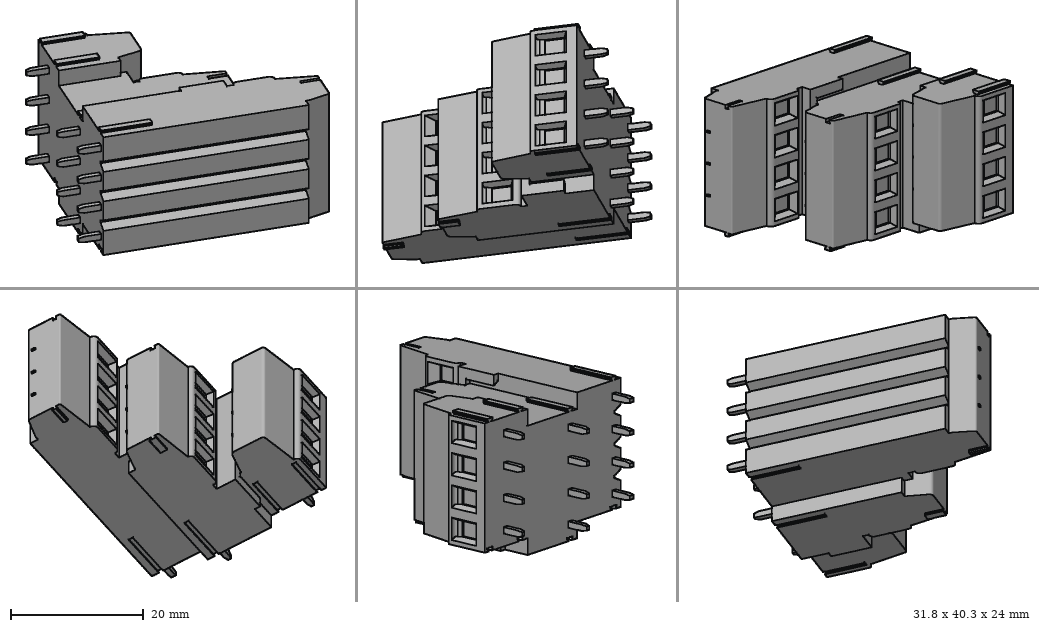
import cadquery as cq


POLES = 4
POLE_PITCH = 5.08
TIER_LENGTH = POLES * POLE_PITCH
MIDDLE_SHIFT = 2.6
MIDDLE_POLE_SHIFT = POLE_PITCH / 2
BACK_X = 31.8

FRONT_FACE_X = 0
MIDDLE_FACE_X = 11.65
BACK_FACE_X = 21.55
FRONT_MIDDLE_JOINT_X = 10.0
MIDDLE_BACK_JOINT_X = 21.6
STEP_OVERHANG = 0.95

TOWER_PITCH = 11.35
FRONT_TOP_Y = 13.85
MIDDLE_TOP_Y = FRONT_TOP_Y + TOWER_PITCH
BACK_TOP_Y = MIDDLE_TOP_Y + TOWER_PITCH

LIP_DROP = 6.4
SHOULDER_DROP = 4.07
BACK_TOWER_FOOT = 0.55

FRONT_TOWER_X = (0.85, 1.97, 7.85, 8.85)
MIDDLE_TOWER_X = (12.37, 13.38, 19.35, 20.4)
BACK_TOWER_X = (22.5, 23.58, 29.38, 30.4)

FACE_RADIUS = 0.65
BACK_FACE_RADIUS = 0.8
FRONT_TOP_RADII = (0.5, 0.73)
MIDDLE_TOP_RADII = (0.25, 0.73)
BACK_TOP_RADII = (0.25, 0.4)

MIDDLE_STEP_TOP_Y = 11.05
MIDDLE_NOTCH_TOP_Y = 12.0
MIDDLE_NOTCH_X = 12.45
BACK_STEP_TOP_Y = 22.6
BACK_NOTCH_TOP_Y = 23.65
BACK_NOTCH_X = BACK_FACE_X + BACK_FACE_RADIUS

MIDDLE_LEDGE_Y = 4.45
BACK_LEDGE_Y = 15.6
MIDDLE_LEDGE_THICK = (1.85, 1.4)
BACK_LEDGE_THICK = (1.75, 1.13)

FRONT_FUNNEL_Y = 1.7
FUNNEL_HEIGHT = 4.8
FUNNEL_WIDTH = 3.55
FUNNEL_TAPER = 0.52
FUNNEL_DEPTH = 1.0
FUNNEL_STRAIGHT = 0.52
FUNNEL_ROUND_DEPTH = 0.85
FUNNEL_ROUND_DROP = 0.45
FUNNEL_UPPER_DROP = 1.2
BACK_FUNNEL_HEIGHT = 5.0
BACK_FUNNEL_DEPTH = 1.2
BACK_FUNNEL_UPPER_DROP = 1.4
POCKET_DEPTH = 0.35

RIB_HEIGHT = 0.55
RIB_WIDTH = 1.25
RIB_NECK = 0.7
RIB_EDGE = 0.2
FRONT_RIB_X = (1.25, 8.3)
FRONT_RIB_LENGTH = 6.8
MIDDLE_RIB_X = 19.95
BACK_RIB_X = 30.1
BACK_RIB_WIDTH = 1.13
BACK_GROOVE_WIDTH = 1.4
REAR_RIB_LENGTH = 8.1
TOWER_RIB_LENGTH = 3.02
MIDDLE_TOWER_RIB_X = 14.45
BACK_TOWER_RIB_X = 24.62
BACK_TOWER_RIB_WIDTH = 0.95
BACK_TOWER_RIB_NECK = 0.55
BACK_TOWER_GROOVE_WIDTH = 0.55
MIDDLE_TOWER_GROOVE_WIDTH = 0.9

FRONT_PIN_X = 4.85
MIDDLE_PIN_X = 20.0
BACK_PIN_X = 30.2
PIN_WIDTH = 0.9
PIN_HEIGHT = 1.0
PIN_LENGTH = 3.5
PIN_TIP = 0.85
PIN_TIP_WIDTH = 0.55
PIN_TIP_HEIGHT = 0.65

NOTCH_DEPTH = 1.45
NOTCH_WIDTH = 1.77
NOTCH_FLOOR = 0.32
TICK_WIDTH = 0.25
TICK_BURIAL = 0.4
FRONT_TICK_CORNER = (8.3, 13.15)
MIDDLE_TICK_CORNER = (19.83, 24.55)
SLOPE_TICK_HEIGHT = 0.93
BACK_TICK_X = 28.05
BACK_TICK_LENGTH = 0.65
BACK_TICK_RISE = 0.2

pole_heights = [POLE_PITCH * (i + 0.5) for i in range(POLES)]
pole_borders = [POLE_PITCH * i for i in range(1, POLES)]


def prism_along_z(points, bottom_z, length):
    return cq.Workplane("XY", origin=(0, 0, bottom_z)).polyline(points).close().extrude(length)


def prism_along_y(points, bottom_y, length):
    return cq.Workplane("XZ", origin=(0, bottom_y, 0)).polyline(points).close().extrude(-length)


def round_corners(body, corners):
    """Fillet the Z edges of a prism that stand at the given (x, y, radius) corners."""
    for x, y, radius in corners:
        edge = cq.selectors.NearestToPointSelector((x, y, body.val().Center().z))
        body = body.edges("|Z").edges(edge).fillet(radius)
    return body


def front_tier():
    lip_y = FRONT_TOP_Y - LIP_DROP
    shoulder_y = FRONT_TOP_Y - SHOULDER_DROP
    slope_foot_x, top_front_x, top_rear_x, rear_foot_x = FRONT_TOWER_X
    top_front = (top_front_x, FRONT_TOP_Y)
    top_rear = (top_rear_x, FRONT_TOP_Y)
    front_radius, rear_radius = FRONT_TOP_RADII
    body = prism_along_z(
        [
            (FRONT_FACE_X, 0),
            (FRONT_FACE_X, lip_y),
            (slope_foot_x, lip_y),
            top_front,
            top_rear,
            (rear_foot_x, shoulder_y),
            (FRONT_MIDDLE_JOINT_X, shoulder_y),
            (FRONT_MIDDLE_JOINT_X, 0),
        ],
        0,
        TIER_LENGTH,
    )
    return round_corners(
        body,
        [
            (FRONT_FACE_X, lip_y, FACE_RADIUS),
            (*top_front, front_radius),
            (*top_rear, rear_radius),
        ],
    )


def middle_tier():
    lip_y = MIDDLE_TOP_Y - LIP_DROP
    shoulder_y = MIDDLE_TOP_Y - SHOULDER_DROP
    step_x = FRONT_MIDDLE_JOINT_X - STEP_OVERHANG
    step_y = FRONT_TOP_Y - SHOULDER_DROP
    slope_foot_x, top_front_x, top_rear_x, rear_foot_x = MIDDLE_TOWER_X
    top_front = (top_front_x, MIDDLE_TOP_Y)
    top_rear = (top_rear_x, MIDDLE_TOP_Y)
    front_radius, rear_radius = MIDDLE_TOP_RADII
    body = prism_along_z(
        [
            (FRONT_MIDDLE_JOINT_X, 0),
            (FRONT_MIDDLE_JOINT_X, step_y),
            (step_x, step_y),
            (step_x, MIDDLE_STEP_TOP_Y),
            (MIDDLE_NOTCH_X, MIDDLE_STEP_TOP_Y),
            (MIDDLE_NOTCH_X, MIDDLE_NOTCH_TOP_Y),
            (MIDDLE_FACE_X, MIDDLE_NOTCH_TOP_Y),
            (MIDDLE_FACE_X, lip_y),
            (slope_foot_x, lip_y),
            top_front,
            top_rear,
            (rear_foot_x, shoulder_y),
            (MIDDLE_BACK_JOINT_X, shoulder_y),
            (MIDDLE_BACK_JOINT_X, 0),
        ],
        -MIDDLE_SHIFT,
        TIER_LENGTH,
    )
    body = round_corners(
        body,
        [
            (MIDDLE_FACE_X, MIDDLE_NOTCH_TOP_Y, FACE_RADIUS),
            (MIDDLE_FACE_X, lip_y, FACE_RADIUS),
            (*top_front, front_radius),
            (*top_rear, rear_radius),
        ],
    )
    edge_thick, wall_thick = MIDDLE_LEDGE_THICK
    ledge = prism_along_y(
        [
            (step_x, -MIDDLE_SHIFT),
            (step_x, -MIDDLE_SHIFT + edge_thick),
            (FRONT_MIDDLE_JOINT_X, -MIDDLE_SHIFT + wall_thick),
            (FRONT_MIDDLE_JOINT_X, -MIDDLE_SHIFT),
        ],
        MIDDLE_LEDGE_Y,
        step_y - MIDDLE_LEDGE_Y,
    )
    return body.union(ledge)


def back_tier():
    lip_y = BACK_TOP_Y - LIP_DROP
    shoulder_y = BACK_TOP_Y - SHOULDER_DROP
    step_x = MIDDLE_BACK_JOINT_X - STEP_OVERHANG
    step_y = MIDDLE_TOP_Y - SHOULDER_DROP
    bulge_y = BACK_NOTCH_TOP_Y + BACK_FACE_RADIUS
    slope_foot_x, top_front_x, top_rear_x, rear_foot_x = BACK_TOWER_X
    top_front = (top_front_x, BACK_TOP_Y)
    top_rear = (top_rear_x, BACK_TOP_Y)
    front_radius, rear_radius = BACK_TOP_RADII
    body = prism_along_z(
        [
            (MIDDLE_BACK_JOINT_X, 0),
            (MIDDLE_BACK_JOINT_X, step_y),
            (step_x, step_y),
            (step_x, BACK_STEP_TOP_Y),
            (BACK_NOTCH_X, BACK_STEP_TOP_Y),
            (BACK_NOTCH_X, BACK_NOTCH_TOP_Y),
            (BACK_FACE_X, bulge_y),
            (BACK_FACE_X, lip_y),
            (slope_foot_x, lip_y),
            top_front,
            top_rear,
            (rear_foot_x, shoulder_y + BACK_TOWER_FOOT),
            (rear_foot_x, shoulder_y),
            (BACK_X, shoulder_y),
            (BACK_X, 0),
        ],
        0,
        TIER_LENGTH,
    )
    body = round_corners(
        body,
        [
            (BACK_FACE_X, lip_y, BACK_FACE_RADIUS),
            (*top_front, front_radius),
            (*top_rear, rear_radius),
        ],
    )
    bulge = cq.Workplane("XY").circle(BACK_FACE_RADIUS).extrude(TIER_LENGTH)
    body = body.union(bulge.translate((BACK_NOTCH_X, bulge_y, 0)))
    edge_thick, wall_thick = BACK_LEDGE_THICK
    ledge = prism_along_y(
        [
            (step_x, TIER_LENGTH),
            (step_x, TIER_LENGTH - edge_thick),
            (MIDDLE_BACK_JOINT_X, TIER_LENGTH - wall_thick),
            (MIDDLE_BACK_JOINT_X, TIER_LENGTH),
        ],
        BACK_LEDGE_Y,
        step_y - BACK_LEDGE_Y,
    )
    return body.union(ledge)


def funnel(side, face_x, bottom_y, height, depth, upper_drop, center_z):
    """Cut shape made of a side profile in XY narrowed in Z, ending in a straight pocket."""
    half_mouth = FUNNEL_WIDTH / 2
    half_throat = half_mouth - FUNNEL_TAPER
    throat_x = face_x + depth
    narrowing = prism_along_y(
        [
            (face_x, center_z - half_mouth),
            (throat_x, center_z - half_throat),
            (throat_x, center_z + half_throat),
            (face_x, center_z + half_mouth),
        ],
        bottom_y,
        height,
    )
    throat_height = height - FUNNEL_TAPER - upper_drop
    pocket = (
        cq.Workplane("XY", origin=(face_x, bottom_y + FUNNEL_TAPER, center_z))
        .box(depth + POCKET_DEPTH, throat_height, 2 * half_throat, centered=(False, False, True))
    )
    block = side.extrude(half_mouth, both=True).translate((0, 0, center_z))
    return block.intersect(narrowing).union(pocket)


def rounded_funnel(face_x, bottom_y, center_z):
    """Funnel whose upper wall runs straight in, then rounds down into a steep slope."""
    top_y = bottom_y + FUNNEL_HEIGHT
    side = (
        cq.Workplane("XY")
        .moveTo(face_x, bottom_y)
        .lineTo(face_x, top_y)
        .lineTo(face_x + FUNNEL_STRAIGHT, top_y)
        .tangentArcPoint((face_x + FUNNEL_ROUND_DEPTH, top_y - FUNNEL_ROUND_DROP), relative=False)
        .lineTo(face_x + FUNNEL_DEPTH, top_y - FUNNEL_UPPER_DROP)
        .lineTo(face_x + FUNNEL_DEPTH, bottom_y + FUNNEL_TAPER)
        .close()
    )
    return funnel(side, face_x, bottom_y, FUNNEL_HEIGHT, FUNNEL_DEPTH, FUNNEL_UPPER_DROP, center_z)


def sloped_funnel(face_x, bottom_y, center_z):
    """Funnel whose upper wall is one plane."""
    top_y = bottom_y + BACK_FUNNEL_HEIGHT
    throat_x = face_x + BACK_FUNNEL_DEPTH
    side = cq.Workplane("XY").polyline(
        [
            (face_x, bottom_y),
            (face_x, top_y),
            (throat_x, top_y - BACK_FUNNEL_UPPER_DROP),
            (throat_x, bottom_y + FUNNEL_TAPER),
        ]
    ).close()
    return funnel(
        side, face_x, bottom_y, BACK_FUNNEL_HEIGHT, BACK_FUNNEL_DEPTH, BACK_FUNNEL_UPPER_DROP, center_z
    )


def dovetail_bar(center_x, wall_z, direction, width, neck, end_width, bottom_y, length):
    """Bar along Y, growing in Z from wall_z; widest where its outer edge begins."""
    edge_z = wall_z + direction * (RIB_HEIGHT - RIB_EDGE)
    end_z = wall_z + direction * RIB_HEIGHT
    return prism_along_y(
        [
            (center_x - neck / 2, wall_z),
            (center_x - width / 2, edge_z),
            (center_x - end_width / 2, end_z),
            (center_x + end_width / 2, end_z),
            (center_x + width / 2, edge_z),
            (center_x + neck / 2, wall_z),
        ],
        bottom_y,
        length,
    )


def base_joint(body, center_x, bottom_z, rib_width, groove_width, length):
    """Groove in the lower end face and rib on the upper one, both rising from the base."""
    groove = dovetail_bar(center_x, bottom_z, 1, groove_width, RIB_NECK, groove_width, 0, length)
    top_z = bottom_z + TIER_LENGTH
    rib = dovetail_bar(center_x, top_z, 1, rib_width, RIB_NECK, rib_width, 0, length)
    return body.cut(groove).union(rib)


def tower_joint(body, center_x, bottom_z, top_y, rib_widths, groove_widths):
    """Rib on the lower end face and groove in the upper one, both ending at the tower top."""
    low_y = top_y - TOWER_RIB_LENGTH
    rib = dovetail_bar(center_x, bottom_z, -1, *rib_widths, low_y, TOWER_RIB_LENGTH)
    top_z = bottom_z + TIER_LENGTH
    groove = dovetail_bar(center_x, top_z, -1, *groove_widths, low_y, TOWER_RIB_LENGTH)
    return body.cut(groove).union(rib)


def pin(center_x, center_z, tip_width):
    start = cq.Workplane("XZ", origin=(center_x, 0, center_z))
    shank_length = PIN_LENGTH - PIN_TIP
    shank = start.rect(PIN_WIDTH, PIN_HEIGHT).extrude(shank_length)
    tip = (
        start.workplane(offset=shank_length)
        .rect(PIN_WIDTH, PIN_HEIGHT)
        .workplane(offset=PIN_TIP)
        .rect(tip_width, PIN_TIP_HEIGHT)
        .loft()
    )
    return shank.union(tip)


def marking_notch(center_z):
    floor_x = BACK_X - NOTCH_DEPTH
    return prism_along_y(
        [
            (BACK_X, center_z - NOTCH_WIDTH / 2),
            (floor_x, center_z - NOTCH_FLOOR / 2),
            (floor_x, center_z + NOTCH_FLOOR / 2),
            (BACK_X, center_z + NOTCH_WIDTH / 2),
        ],
        0,
        BACK_TOP_Y - SHOULDER_DROP,
    )


def slope_tick(corner, center_z):
    """Small block standing out of a tower's rear slope; corner is its upper rear (x, y)."""
    x, y = corner
    return cq.Workplane("XY").box(TICK_BURIAL, SLOPE_TICK_HEIGHT, TICK_WIDTH).translate(
        (x - TICK_BURIAL / 2, y - SLOPE_TICK_HEIGHT / 2, center_z)
    )


def back_tick(center_z):
    height = TICK_BURIAL + BACK_TICK_RISE
    return cq.Workplane("XY").box(BACK_TICK_LENGTH, height, TICK_WIDTH).translate(
        (BACK_TICK_X + BACK_TICK_LENGTH / 2, BACK_TOP_Y + BACK_TICK_RISE - height / 2, center_z)
    )


result = front_tier().union(middle_tier()).union(back_tier())

middle_funnel_y = FRONT_FUNNEL_Y + TOWER_PITCH
back_funnel_y = middle_funnel_y + TOWER_PITCH
for z in pole_heights:
    middle_z = z - MIDDLE_POLE_SHIFT
    result = result.cut(rounded_funnel(FRONT_FACE_X, FRONT_FUNNEL_Y, z))
    result = result.cut(rounded_funnel(MIDDLE_FACE_X, middle_funnel_y, middle_z))
    result = result.cut(sloped_funnel(BACK_FACE_X, back_funnel_y, z))
    result = result.union(pin(FRONT_PIN_X, z, PIN_TIP_WIDTH))
    result = result.union(pin(MIDDLE_PIN_X, middle_z, PIN_TIP_WIDTH))
    result = result.union(pin(BACK_PIN_X, z, PIN_WIDTH))

for z in pole_borders:
    result = result.cut(marking_notch(z))
    result = result.union(slope_tick(FRONT_TICK_CORNER, z))
    result = result.union(slope_tick(MIDDLE_TICK_CORNER, z - MIDDLE_POLE_SHIFT))
    result = result.union(back_tick(z))

for x in FRONT_RIB_X:
    result = base_joint(result, x, 0, RIB_WIDTH, RIB_WIDTH, FRONT_RIB_LENGTH)
result = base_joint(result, MIDDLE_RIB_X, -MIDDLE_SHIFT, RIB_WIDTH, RIB_WIDTH, REAR_RIB_LENGTH)
result = base_joint(result, BACK_RIB_X, 0, BACK_RIB_WIDTH, BACK_GROOVE_WIDTH, REAR_RIB_LENGTH)

result = tower_joint(
    result,
    MIDDLE_TOWER_RIB_X,
    -MIDDLE_SHIFT,
    MIDDLE_TOP_Y,
    (RIB_WIDTH, RIB_NECK, RIB_WIDTH),
    (MIDDLE_TOWER_GROOVE_WIDTH, RIB_NECK, MIDDLE_TOWER_GROOVE_WIDTH),
)
result = tower_joint(
    result,
    BACK_TOWER_RIB_X,
    0,
    BACK_TOP_Y,
    (BACK_TOWER_RIB_WIDTH, BACK_TOWER_RIB_NECK, BACK_TOWER_RIB_NECK),
    (BACK_TOWER_GROOVE_WIDTH,) * 3,
)